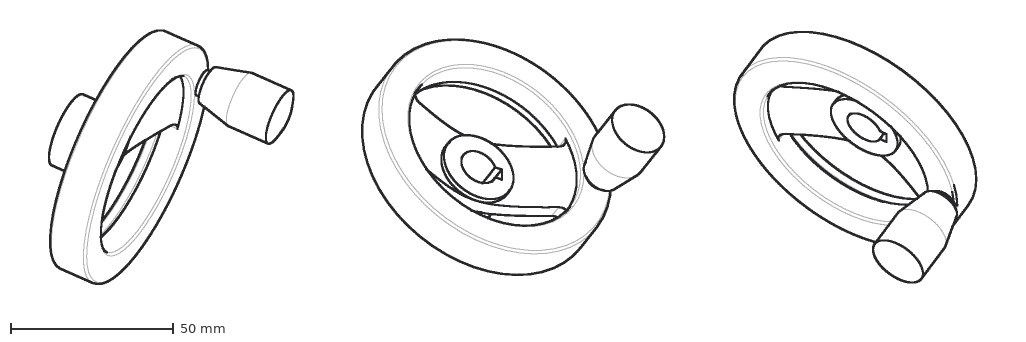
import cadquery as cq
import math

overall_length = 84.4
rim_radius = 80.0 / 2
rim_inner_radius = 61.6 / 2
rim_width = 12.75
rim_edge_radius = 0.8

hub_radius = 24.0 / 2
hub_front = -15.3
hub_back = 1.0
hub_fillet = 1.2
bore_radius = 12.0 / 2
keyway_width = 4.0
keyway_depth = 7.9

web_angle = math.radians(30)
web_zero_radius = 21.8
web_thickness = 4.8
web_fillet = 1.3
window_radius = 59.2 / 2
window_corner_radius = 1.8
spoke_half_width = 12.1
spoke_root_radius = window_radius + 0.7

neck_radius = 8.6 / 2
collar_radius = 12.3 / 2
grip_radius = 18.0 / 2
handle_offset = overall_length - rim_radius - grip_radius
collar_x = rim_width + 2.0
grip_x = 26.0
dome_x = 39.8
handle_end = 41.95


def web_front_x(radius):
    """X of the front web surface at a given distance from the axis."""
    return (radius - web_zero_radius) * math.tan(web_angle)


def revolve_about_x(profile):
    return profile.close().revolve(360, (0, 0, 0), (1, 0, 0))


def fillet_circles(body, radius, x, size):
    """Round the circular edges of the given radius centred at the given X."""
    def matches(edge):
        return (
            edge.geomType() == "CIRCLE"
            and math.isclose(edge.radius(), radius, abs_tol=0.01)
            and math.isclose(edge.Center().x, x, abs_tol=0.01)
        )

    edges = [edge for edge in body.edges().vals() if matches(edge)]
    return body.newObject(edges).fillet(size)


def make_rim():
    outline = [
        (0, window_radius),
        (0, rim_radius),
        (rim_width, rim_radius),
        (rim_width, window_radius),
    ]
    rim = revolve_about_x(cq.Workplane("XY").polyline(outline))
    rim = fillet_circles(rim, rim_radius, 0, rim_edge_radius)
    rim = fillet_circles(rim, rim_radius, rim_width, rim_edge_radius)
    return fillet_circles(rim, window_radius, rim_width, rim_edge_radius)


def make_spoke_blank():
    """Straight band across the rim with a conical back, its front still uncarved."""
    outline = [
        (hub_front, 0),
        (hub_front, spoke_root_radius),
        (web_front_x(spoke_root_radius) + web_thickness, spoke_root_radius),
        (web_front_x(hub_radius) + web_thickness, hub_radius),
        (hub_back, hub_radius),
        (hub_back, 0),
    ]
    disc = revolve_about_x(cq.Workplane("XY").polyline(outline))
    band = cq.Workplane("XY").box(2 * rim_radius, 2 * rim_radius, 2 * spoke_half_width)
    return disc.intersect(band)


def make_front_recess():
    """Ring-shaped space around the hub that carves the front of the web."""
    hub_foot_x = web_front_x(hub_radius)
    rim_foot_x = web_front_x(rim_inner_radius)
    outline = [
        (hub_front, hub_radius),
        (hub_foot_x, hub_radius),
        (rim_foot_x, rim_inner_radius),
        (hub_front, rim_inner_radius),
    ]
    recess = revolve_about_x(cq.Workplane("XY").polyline(outline))
    recess = fillet_circles(recess, hub_radius, hub_foot_x, hub_fillet)
    return fillet_circles(recess, rim_inner_radius, rim_foot_x, web_fillet)


def fillet_window_corners(body):
    """Round the four edges, parallel to X, where the spokes meet the rim."""
    half_chord = math.sqrt(window_radius**2 - spoke_half_width**2)

    def is_corner(edge):
        center = edge.Center()
        return (
            edge.geomType() == "LINE"
            and math.isclose(abs(center.y), half_chord, abs_tol=0.01)
            and math.isclose(abs(center.z), spoke_half_width, abs_tol=0.01)
        )

    corners = [edge for edge in body.edges("|X").vals() if is_corner(edge)]
    return body.newObject(corners).fillet(window_corner_radius)


def make_wheel():
    wheel = fillet_window_corners(make_rim().union(make_spoke_blank()))
    wheel = wheel.cut(make_front_recess())
    return fillet_circles(wheel, rim_inner_radius, 0, rim_edge_radius)


def make_bore():
    length = hub_back - hub_front
    start = cq.Workplane("YZ", origin=(hub_front, 0, 0))
    keyway = start.center(keyway_depth / 2, 0).rect(keyway_depth, keyway_width).extrude(length)
    return start.circle(bore_radius).extrude(length).union(keyway)


def make_handle():
    root_x = rim_width / 2
    dome_height = handle_end - dome_x
    dome_radius = (grip_radius**2 + dome_height**2) / (2 * dome_height)
    dome_mid_y = grip_radius / 2
    dome_mid_x = handle_end - dome_radius + math.sqrt(dome_radius**2 - dome_mid_y**2)
    profile = (
        cq.Workplane("XY")
        .moveTo(root_x, 0)
        .lineTo(root_x, neck_radius)
        .lineTo(collar_x, neck_radius)
        .lineTo(collar_x, collar_radius)
        .lineTo(grip_x, grip_radius)
        .lineTo(dome_x, grip_radius)
        .threePointArc((dome_mid_x, dome_mid_y), (handle_end, 0))
    )
    return revolve_about_x(profile).translate((0, handle_offset, 0))


result = make_wheel().cut(make_bore()).union(make_handle())